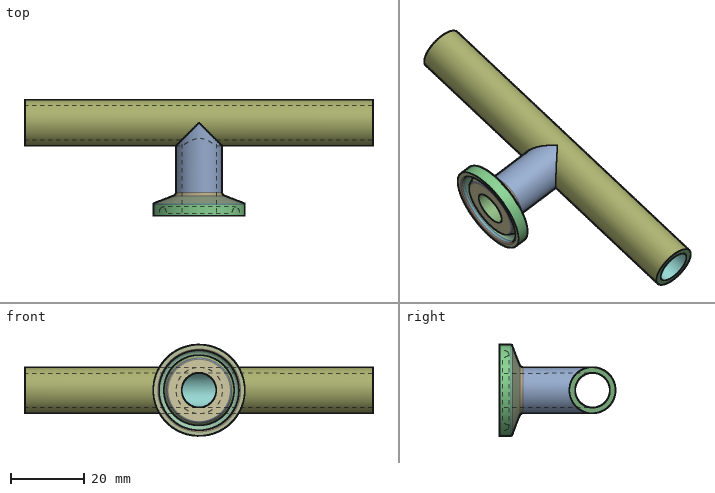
import cadquery as cq

run_length = 95.2
tube_diameter = 12.7
bore_diameter = 9.4
tube_radius = tube_diameter / 2
bore_radius = bore_diameter / 2

overall_depth = 31.8
face_y = tube_radius - overall_depth
flange_diameter = 25.0
flange_radius = flange_diameter / 2
rim_thickness = 3.4
cone_height = 2.4
neck_fillet = 0.95
rim_fillet = 0.4

groove_outer_diameter = 21.9
groove_inner_diameter = 17.5
groove_outer_radius = groove_outer_diameter / 2
groove_inner_radius = groove_inner_diameter / 2
centre_face_recess = 0.8
groove_wall_depth = 1.2
groove_round = 1.3
groove_bottom_radius = groove_outer_radius - groove_round
groove_edge_fillet = 0.4


def x_cylinder(radius):
    """Solid cylinder along the full length of the run."""
    return cq.Workplane("YZ", origin=(-run_length / 2, 0, 0)).circle(radius).extrude(run_length)


def branch_bore():
    """Bore from the run axis out through the sealing face."""
    return cq.Workplane("XZ").circle(bore_radius).extrude(-face_y)


def make_run_tube():
    """Straight tube with a side opening for the branch."""
    return x_cylinder(tube_radius).cut(x_cylinder(bore_radius)).cut(branch_bore())


def gasket_groove():
    """Rounded ring groove and the set-back centre face, revolved about the branch axis."""
    centre_face_y = face_y + centre_face_recess
    return (
        cq.Workplane("XY")
        .moveTo(0, face_y)
        .lineTo(groove_outer_radius, face_y)
        .lineTo(groove_outer_radius, face_y + groove_wall_depth)
        .radiusArc((groove_bottom_radius, face_y + groove_wall_depth + groove_round), -groove_round)
        .lineTo(groove_inner_radius, centre_face_y)
        .lineTo(0, centre_face_y)
        .close()
        .revolve(360, (0, 0, 0), (0, 1, 0))
    )


def fillet_circle(body, y, fillet_radius, edge_radius):
    """Round the circular edges at height y whose radius is edge_radius."""
    tolerance = 0.01
    circles = body.edges("%CIRCLE").filter(
        lambda edge: abs(edge.Center().y - y) < tolerance
        and abs(edge.radius() - edge_radius) < tolerance
    )
    return circles.fillet(fillet_radius)


def make_branch_ferrule():
    """Branch neck and clamp flange, with the neck coped to sit on the run tube."""
    cone_start_y = face_y + rim_thickness
    neck_start_y = cone_start_y + cone_height
    body = (
        cq.Workplane("XY")
        .moveTo(0, face_y)
        .lineTo(flange_radius, face_y)
        .lineTo(flange_radius, cone_start_y)
        .lineTo(tube_radius, neck_start_y)
        .lineTo(tube_radius, 0)
        .lineTo(0, 0)
        .close()
        .revolve(360, (0, 0, 0), (0, 1, 0))
    )
    body = fillet_circle(body, neck_start_y, neck_fillet, tube_radius)
    body = fillet_circle(body, cone_start_y, rim_fillet, flange_radius)
    body = body.cut(gasket_groove())
    body = fillet_circle(body, face_y, groove_edge_fillet, groove_outer_radius)
    body = fillet_circle(body, face_y + centre_face_recess, groove_edge_fillet, groove_inner_radius)
    return body.cut(branch_bore()).cut(x_cylinder(tube_radius))


run_tube = make_run_tube()
branch_ferrule = make_branch_ferrule()

result = cq.Compound.makeCompound([run_tube.val(), branch_ferrule.val()])